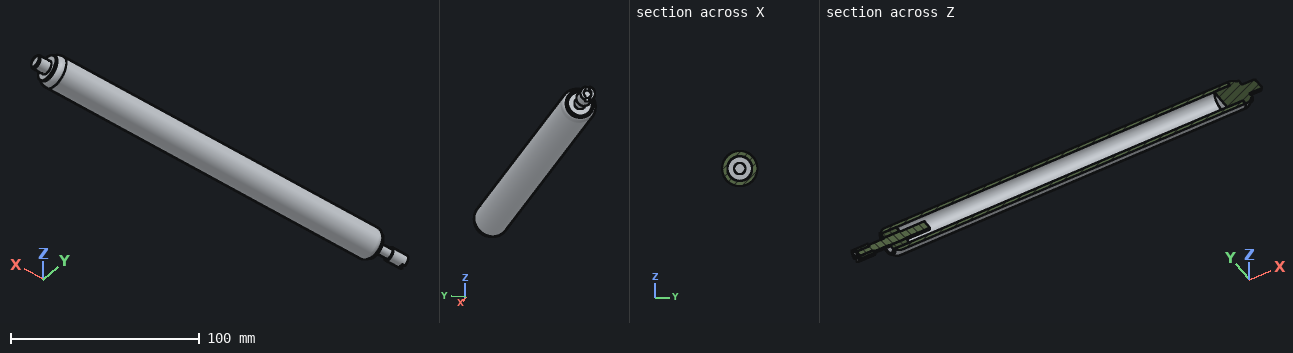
import cadquery as cq

total_length = 250.0
front_end = -total_length / 2
rear_end = total_length / 2

tube_diameter = 19.0
tube_bore = 13.0
tube_front = front_end + 20.0
front_roll_radius = 3.8

lip_diameter = 15.0
lip_height = 0.5

cap_rear = rear_end - 8.5
cap_roll_radius = 4.5
cap_rim = 0.8
plug_length = 10.0
stud_diameter = 8.0
stud_chamfer = 0.8

bush_length = 10.0

rod_diameter = 6.0
spigot_diameter = 4.2
rod_inside_length = 25.0

head_diameter = 8.0
head_length = 10.0
slot_width = 2.2
slot_depth = 1.8

lip_front = tube_front - lip_height
bush_rear = lip_front + bush_length
rod_rear = lip_front + rod_inside_length
cap_front = cap_rear - cap_roll_radius - cap_rim
lip_rear = cap_rear + lip_height
head_rear = front_end + head_length
slot_floor = front_end + slot_depth


def cylinder(diameter, start, end):
    """Solid cylinder along X between two positions."""
    return cq.Workplane("YZ", origin=(start, 0, 0)).circle(diameter / 2).extrude(end - start)


def make_tube():
    """Tube with a rounded front end, a lip and a through bore."""
    barrel = cylinder(tube_diameter, tube_front, cap_front).faces("<X").edges().fillet(front_roll_radius)
    lip = cylinder(lip_diameter, lip_front, tube_front + front_roll_radius)
    return barrel.union(lip).cut(cylinder(tube_bore, lip_front, cap_front))


def make_guide_bush():
    """Ring in the mouth of the tube that guides the rod."""
    ring = cylinder(tube_bore, lip_front, bush_rear)
    return ring.cut(cylinder(rod_diameter, lip_front, bush_rear))


def make_rear_cap():
    """Rounded cap with its plug, lip and chamfered stud."""
    cap = cylinder(tube_diameter, cap_front, cap_rear).faces(">X").edges().fillet(cap_roll_radius)
    plug = cylinder(tube_bore, cap_front - plug_length, cap_front)
    lip = cylinder(lip_diameter, cap_front, lip_rear)
    stud = cylinder(stud_diameter, lip_rear, rear_end).faces(">X").edges().chamfer(stud_chamfer)
    return cap.union(plug).union(lip).union(stud)


def make_rod():
    """Rod with a spigot reaching to the floor of the head's slot."""
    shank = cylinder(rod_diameter, head_rear, rod_rear)
    return shank.union(cylinder(spigot_diameter, slot_floor, head_rear))


def make_head():
    """Round head with a bore for the spigot and a slot across its front face."""
    blank = cylinder(head_diameter, front_end, head_rear)
    bored = blank.cut(cylinder(spigot_diameter, front_end, head_rear))
    slot = cq.Workplane("XY").box(slot_depth, slot_width, head_diameter)
    return bored.cut(slot.translate((front_end + slot_depth / 2, 0, 0)))


tube = make_tube()
guide_bush = make_guide_bush()
rear_cap = make_rear_cap()
rod = make_rod()
head = make_head()

result = cq.Compound.makeCompound([tube.val(), guide_bush.val(), rear_cap.val(), rod.val(), head.val()])